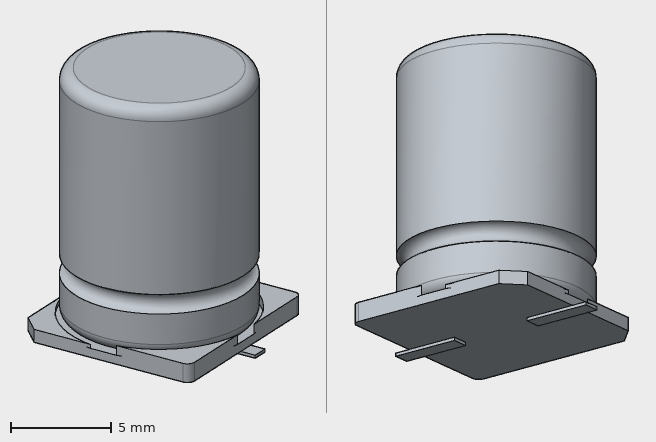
import cadquery as cq

total_height = 14.3
lead_span = 12.0
base_side = 10.3

lead_thickness = 0.17
lead_width = 0.92
lead_inner_x = 2.29

low_top_z = 0.89
high_top_z = 1.2
seat_z = 0.67
seat_radius = 5.2
corner_chamfer = 1.03
corner_radius = 0.43

can_radius = 10.0 / 2
rim_radius = 0.7
groove_center_z = 3.58
groove_half_height = 0.53
groove_depth = 0.47


def make_base():
    """Square plate with a round seat that breaks through all four sides."""
    plate = (
        cq.Workplane("XY")
        .workplane(offset=lead_thickness)
        .rect(base_side, base_side)
        .extrude(high_top_z - lead_thickness)
    )
    plate = plate.edges("|Z and <X").chamfer(corner_chamfer)
    plate = plate.edges("|Z and >X").fillet(corner_radius)

    low_side = (
        cq.Workplane("XY")
        .workplane(offset=low_top_z)
        .center(-base_side / 4, 0)
        .rect(base_side / 2, base_side)
        .extrude(high_top_z - low_top_z)
    )
    seat = (
        cq.Workplane("XY")
        .workplane(offset=seat_z)
        .circle(seat_radius)
        .extrude(high_top_z - seat_z)
    )
    return plate.cut(low_side).cut(seat)


def make_can():
    """Cylinder with rounded rims and a rolled groove near the bottom."""
    can = (
        cq.Workplane("XY")
        .workplane(offset=seat_z)
        .circle(can_radius)
        .extrude(total_height - seat_z)
        .faces("<Z or >Z")
        .edges()
        .fillet(rim_radius)
    )
    groove = (
        cq.Workplane("XZ")
        .moveTo(can_radius, groove_center_z - groove_half_height)
        .threePointArc(
            (can_radius - groove_depth, groove_center_z),
            (can_radius, groove_center_z + groove_half_height),
        )
        .close()
        .revolve(360, (0, 0, 0), (0, 1, 0))
    )
    return can.cut(groove)


def make_lead(side):
    """Flat lead under the base; side is -1 or +1 along X."""
    outer_x = lead_span / 2
    return (
        cq.Workplane("XY")
        .center(side * (outer_x + lead_inner_x) / 2, 0)
        .rect(outer_x - lead_inner_x, lead_width)
        .extrude(lead_thickness)
    )


result = make_base().union(make_can())
for side in (-1, 1):
    result = result.union(make_lead(side))